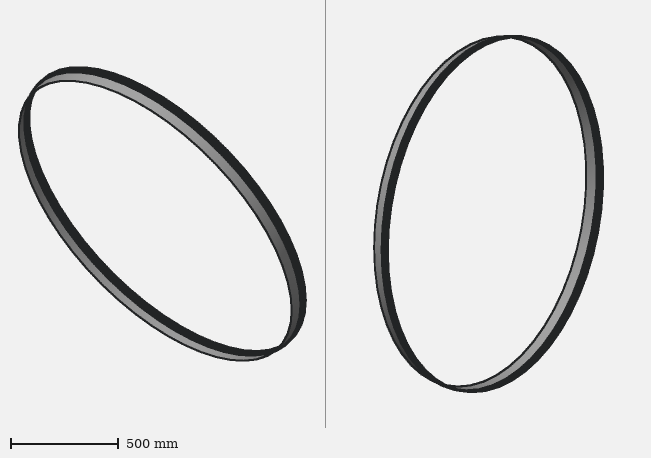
import cadquery as cq

width = 89.0
rim_width = 37.0
ridge_outer_radius = 1676 / 2
rim_outer_radius = 1673.0 / 2
rim_inner_radius = 1668.0 / 2
ridge_inner_radius = 1665.0 / 2

ridge_width = 8.0
ridge_margin = 5.0

skirt_thickness = 2.5
skirt_root_radius = 835.0
skirt_tip_radius = 825.0

rim_front = width - rim_width
ridge_starts = [
    rim_front + ridge_margin,
    width - ridge_margin - ridge_width,
]


def band(inner_radius, outer_radius, start, length):
    """Cylindrical band from Y = start towards the back of the ring."""
    return (
        cq.Workplane("XZ", origin=(0, start, 0))
        .circle(outer_radius)
        .circle(inner_radius)
        .extrude(-length)
    )


def skirt():
    """Conical sheet that narrows from the rim to the front edge."""
    points = [
        (skirt_tip_radius - skirt_thickness, 0),
        (skirt_tip_radius, 0),
        (skirt_root_radius, rim_front),
        (skirt_root_radius - skirt_thickness, rim_front),
    ]
    return cq.Workplane("XY").polyline(points).close().revolve(360, (0, 0, 0), (0, 1, 0))


result = band(rim_inner_radius, rim_outer_radius, rim_front, rim_width)
for ridge_start in ridge_starts:
    result = result.union(band(ridge_inner_radius, ridge_outer_radius, ridge_start, ridge_width))
result = result.union(skirt())